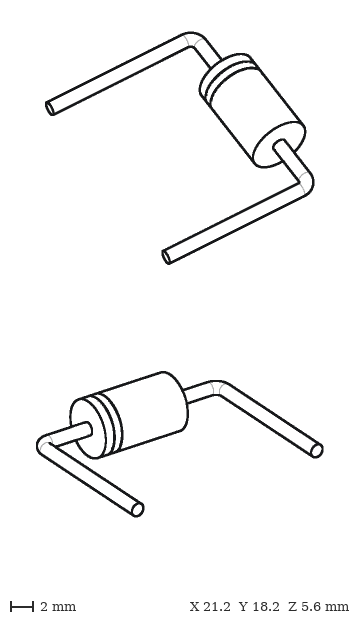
import cadquery as cq

body_diameter = 5.6
body_length = 9.1
overall_width = 21.15
overall_depth = 18.25

band_offset = 1.0
band_width = 0.85
band_thickness = 0.1

lead_diameter = 1.3
bend_radius = 1.02

body_radius = body_diameter / 2
lead_radius = lead_diameter / 2
body_end = body_length / 2
leg_x = overall_width / 2 - lead_radius
leg_end_y = body_radius - overall_depth
band_start_x = band_offset - body_end


def make_band():
    """Marking ring, flush with the surface of the body."""
    return (
        cq.Workplane("YZ", origin=(band_start_x, 0, 0))
        .circle(body_radius)
        .circle(body_radius - band_thickness)
        .extrude(band_width)
    )


def make_body(band):
    """Solid cylinder with a shallow groove that holds the band."""
    cylinder = cq.Workplane("YZ", origin=(-body_end, 0, 0)).circle(body_radius).extrude(body_length)
    return cylinder.cut(band)


def make_lead(side):
    """Round wire from a body end face, bent towards -Y; side is -1 or +1 along X."""
    bend_start_x = side * (leg_x - bend_radius)
    wire_path = (
        cq.Workplane("XY")
        .moveTo(side * body_end, 0)
        .lineTo(bend_start_x, 0)
        .tangentArcPoint((side * leg_x, -bend_radius), relative=False)
        .lineTo(side * leg_x, leg_end_y)
    )
    return cq.Workplane("YZ", origin=(side * body_end, 0, 0)).circle(lead_radius).sweep(wire_path)


band = make_band()
body = make_body(band)
leads = [make_lead(side) for side in (-1, 1)]

result = cq.Compound.makeCompound([body.val(), band.val(), *[lead.val() for lead in leads]])